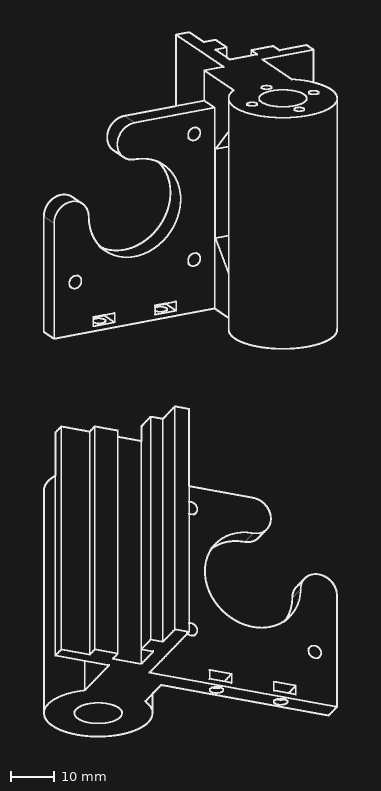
import cadquery as cq

height = 57.0
overlap = 0.7

leg_thickness = 3.5
leg_length = 20.0
corner_x = -leg_thickness
corner_y = 1.0
key_height = 3.0
key_center = leg_length / 2
x_leg_key_width = 5.6
y_leg_key_width = 5.8

tube_x = 24.4
tube_diameter = 25.05
bore_diameter = 11.0
web_width = 15.15
screw_hole_diameter = 2.4
screw_circle_radius = 8.0
screw_hole_depth = 14.6
screw_hole_count = 4

window_x = 12.1
window_width = 13.2
window_side_height = 22.0

plate_thickness = 5.1
plate_end_y = corner_y + leg_length - 70.4
hook_radius = 12.0
finger_width = 9.1
finger_radius = finger_width / 2
hook_y = plate_end_y + finger_width + hook_radius
hook_z = height / 2
plate_top = hook_z + hook_radius + finger_width
mount_hole_diameter = 3.2
mount_hole_offset = 15.5
nut_slot_width = 5.5
nut_slot_height = 2.25
nut_slot_bottom = 1.3
nut_slot_offset = 8.0
nut_screw_diameter = 3.2


def block(x_min, x_max, y_min, y_max):
    """Full-height block between the given X and Y limits."""
    return cq.Workplane("XY").box(
        x_max - x_min, y_max - y_min, height, centered=False
    ).translate((x_min, y_min, 0))


def make_bracket():
    x_leg = block(corner_x - leg_length, 0, corner_y - leg_thickness, corner_y)
    y_leg = block(corner_x, 0, corner_y - leg_thickness, corner_y + leg_length)
    x_key_center = corner_x - key_center
    x_leg_key = block(
        x_key_center - x_leg_key_width / 2,
        x_key_center + x_leg_key_width / 2,
        corner_y - leg_thickness,
        corner_y + key_height,
    )
    y_key_center = corner_y + key_center
    y_leg_key = block(
        corner_x - key_height,
        0,
        y_key_center - y_leg_key_width / 2,
        y_key_center + y_leg_key_width / 2,
    )
    return x_leg.union(y_leg).union(x_leg_key).union(y_leg_key)


def make_tube_and_web():
    web = block(-leg_thickness / 2, tube_x, corner_y - leg_thickness, web_width / 2)
    web = web.union(block(0, tube_x, -web_width / 2, web_width / 2))
    tube = cq.Workplane("XY").center(tube_x, 0).circle(tube_diameter / 2).extrude(height)
    return web.union(tube)


def make_window():
    """Hexagonal cutter along Y with 45-degree points at top and bottom."""
    half_width = window_width / 2
    half_side = window_side_height / 2
    tip = half_side + half_width
    return (
        cq.Workplane("XZ", origin=(window_x, 0, height / 2))
        .polyline([
            (-half_width, -half_side),
            (0, -tip),
            (half_width, -half_side),
            (half_width, half_side),
            (0, tip),
            (-half_width, half_side),
        ])
        .close()
        .extrude(tube_diameter / 2 + overlap, both=True)
    )


def make_tube_holes():
    bore = cq.Workplane("XY").center(tube_x, 0).circle(bore_diameter / 2).extrude(height)
    screw_holes = (
        cq.Workplane("XY", origin=(tube_x, 0, height))
        .polarArray(screw_circle_radius, 0, 360, screw_hole_count)
        .circle(screw_hole_diameter / 2)
        .extrude(-screw_hole_depth)
    )
    return bore.union(screw_holes)


def make_hook_plate():
    """Plate with an open three-quarter-round hook between two rounded fingers."""
    arc_offset = hook_radius * 0.5 ** 0.5
    finger_y = hook_y - hook_radius - finger_radius
    return (
        cq.Workplane("YZ")
        .moveTo(0, 0)
        .lineTo(plate_end_y, 0)
        .lineTo(plate_end_y, hook_z)
        .threePointArc((finger_y, hook_z + finger_radius), (hook_y - hook_radius, hook_z))
        .threePointArc(
            (hook_y + arc_offset, hook_z - arc_offset), (hook_y, hook_z + hook_radius)
        )
        .threePointArc(
            (hook_y - finger_radius, plate_top - finger_radius), (hook_y, plate_top)
        )
        .lineTo(0, plate_top)
        .close()
        .extrude(plate_thickness)
    )


def make_plate_openings():
    """Mounting holes, and nut slots that screws enter from the underside."""
    mount_points = [
        (hook_y + mount_hole_offset, hook_z + mount_hole_offset),
        (hook_y + mount_hole_offset, hook_z - mount_hole_offset),
        (hook_y - mount_hole_offset, hook_z - mount_hole_offset),
    ]
    slot_z = nut_slot_bottom + nut_slot_height / 2
    slot_centers_y = [hook_y - nut_slot_offset, hook_y + nut_slot_offset]
    slot_points = [(y, slot_z) for y in slot_centers_y]
    screw_points = [(plate_thickness / 2, y) for y in slot_centers_y]
    plane = cq.Workplane("YZ")
    holes = plane.pushPoints(mount_points).circle(mount_hole_diameter / 2).extrude(plate_thickness)
    slots = plane.pushPoints(slot_points).rect(nut_slot_width, nut_slot_height).extrude(plate_thickness)
    screws = cq.Workplane("XY").pushPoints(screw_points).circle(nut_screw_diameter / 2).extrude(slot_z)
    return holes.union(slots).union(screws)


result = (
    make_bracket()
    .union(make_tube_and_web())
    .union(make_hook_plate())
    .cut(make_window())
    .cut(make_tube_holes())
    .cut(make_plate_openings())
)